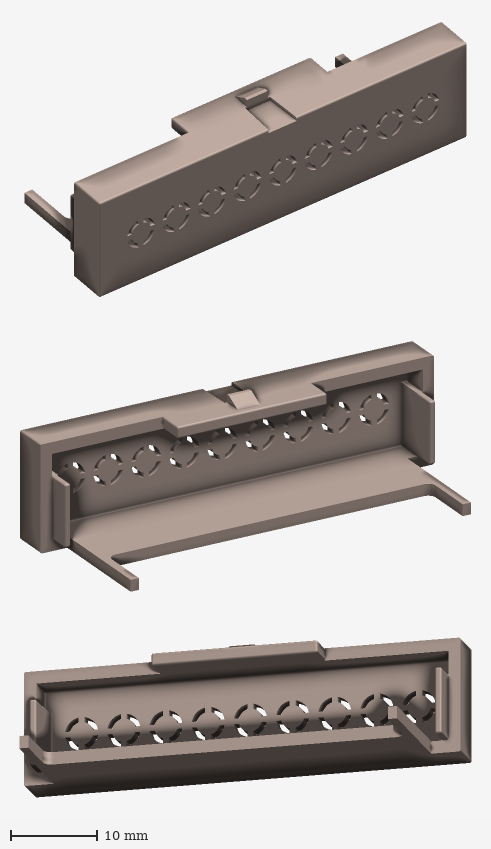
import cadquery as cq


frame_depth = 5.0
frame_width = 52.6
frame_height = 13.8
wall = 1.5
panel_thickness = 1.5
edge_radius = 0.25

plate_reach = 14.8
plate_width = 45.5
arm_length = 7.3
arm_width = 1.1
arm_corner_radius = 1.0

tongue_reach = 3.0
tongue_thickness = 0.8
tongue_height = 8.0

tab_reach = 3.5
tab_width = 20.0
tab_thickness = 1.5
hook_width = 3.0
hook_height = 1.0
hook_length = 2.5
hook_flat = 0.5
latch_offset = -0.1

groove_width_at_hook = 3.6
groove_width_at_panel = 4.0
groove_depth = 0.5

knockout_count = 9
knockout_pitch = 5.08
knockout_diameter = 4.0
knockout_slot = 0.6
bridge_width = 0.7

cavity_depth = frame_depth - panel_thickness
cavity_half_width = frame_width / 2 - wall
cavity_height = frame_height - 2 * wall


def box(x_min, x_max, y_min, y_max, z_min, z_max):
    size = (x_max - x_min, y_max - y_min, z_max - z_min)
    return cq.Workplane("XY").box(*size, centered=False).translate((x_min, y_min, z_min))


def make_frame():
    half_width = frame_width / 2
    outer = box(0, frame_depth, -half_width, half_width, 0, frame_height)
    return outer.edges("|X or >X").fillet(edge_radius)


def make_cavity():
    """Frame cavity with the tongues left standing, rounded where its sides meet the panel."""
    cavity = box(0, cavity_depth, -cavity_half_width, cavity_half_width, wall, wall + cavity_height)
    for side in (-1, 1):
        cavity = cavity.cut(make_tongue_blank(side, 0, cavity_depth))
    return cavity.faces(">X").edges().fillet(edge_radius)


def make_tongue_blank(side, x_min, x_max):
    y_limits = sorted((side * cavity_half_width, side * (cavity_half_width - tongue_thickness)))
    return box(x_min, x_max, *y_limits, wall, wall + tongue_height)


def make_tongue(side):
    """The length of tongue that stands out of the frame, with rounded edges."""
    blank = make_tongue_blank(side, -tongue_reach, 0)
    return blank.edges("|X or <X").fillet(edge_radius)


def make_plate():
    half_width = plate_width / 2
    notch_half_width = half_width - arm_width
    plate = box(-plate_reach, 0, -half_width, half_width, 0, wall)
    notch = box(-plate_reach, arm_length - plate_reach, -notch_half_width, notch_half_width, 0, wall)
    notch = notch.edges("|Z and >X").fillet(arm_corner_radius)
    return plate.cut(notch)


def make_tab():
    half_width = tab_width / 2
    tab = box(-tab_reach, 0, -half_width, half_width, frame_height - tab_thickness, frame_height)
    return tab.edges("|X or <X").fillet(edge_radius)


def make_hook():
    profile = [
        (-hook_length, frame_height),
        (-hook_flat, frame_height + hook_height),
        (0, frame_height + hook_height),
        (0, frame_height),
    ]
    mid_plane = cq.Workplane("XZ", origin=(0, latch_offset, 0))
    return mid_plane.polyline(profile).close().extrude(hook_width / 2, both=True)


def make_groove():
    """Flat-bottomed groove that widens from the hook towards the panel."""
    plan = [
        (0, -groove_width_at_hook / 2),
        (frame_depth, -groove_width_at_panel / 2),
        (frame_depth, groove_width_at_panel / 2),
        (0, groove_width_at_hook / 2),
    ]
    floor_plane = cq.Workplane("XY", origin=(0, latch_offset, frame_height - groove_depth))
    return floor_plane.polyline(plan).close().extrude(groove_depth)


def make_knockout_slots():
    centres = [((i - (knockout_count - 1) / 2) * knockout_pitch, 0) for i in range(knockout_count)]
    panel_plane = cq.Workplane("YZ", origin=(cavity_depth, 0, frame_height / 2)).pushPoints(centres)
    rings = panel_plane.circle(knockout_diameter / 2).circle(knockout_diameter / 2 - knockout_slot)
    rings = rings.extrude(panel_thickness)
    upright_bridges = panel_plane.rect(bridge_width, knockout_diameter).extrude(panel_thickness)
    level_bridges = panel_plane.rect(knockout_diameter, bridge_width).extrude(panel_thickness)
    return rings.cut(upright_bridges).cut(level_bridges)


result = make_frame().cut(make_cavity()).cut(make_groove()).cut(make_knockout_slots())
result = result.union(make_plate()).union(make_tab()).union(make_hook())
for side in (-1, 1):
    result = result.union(make_tongue(side))